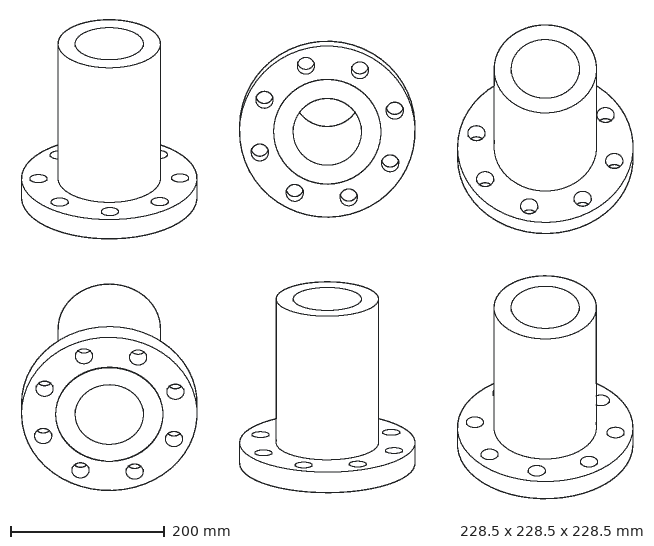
import cadquery as cq

total_height = 228.5
flange_diameter = 228.5

face_diameter = 139.7
face_height = 1.5

flange_thickness = 28.5
bolt_circle_diameter = 184.3
bolt_hole_diameter = 22.5
bolt_count = 8

neck_diameter = 133.5
bore_diameter = 89.0

flange_top = face_height + flange_thickness


def cylinder(diameter, bottom, top):
    """Solid cylinder on the Z axis between two heights."""
    return cq.Workplane("XY").workplane(offset=bottom).circle(diameter / 2).extrude(top - bottom)


raised_face = cylinder(face_diameter, 0, face_height)
flange = cylinder(flange_diameter, face_height, flange_top)
neck = cylinder(neck_diameter, flange_top, total_height)
body = raised_face.union(flange).union(neck)

bore = cylinder(bore_diameter, 0, total_height)

bolt_holes = (
    cq.Workplane("XY")
    .polarArray(bolt_circle_diameter / 2, 0, 360, bolt_count)
    .circle(bolt_hole_diameter / 2)
    .extrude(flange_top)
)

result = body.cut(bore).cut(bolt_holes)